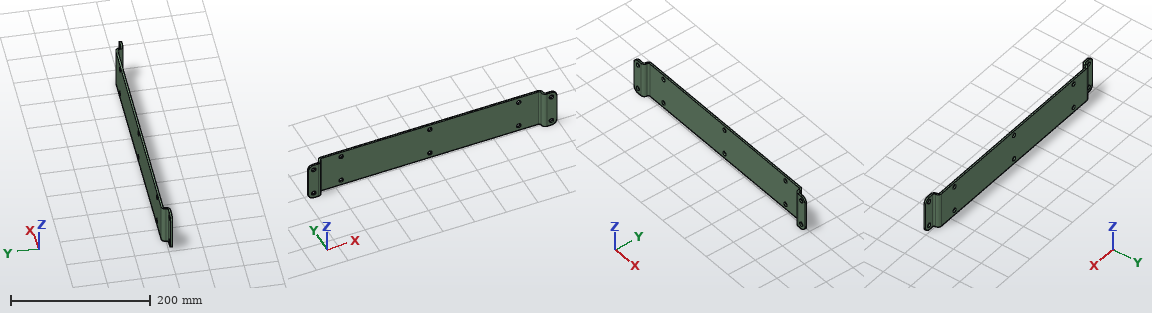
import cadquery as cq

length = 393.0
depth = 12.0
height = 62.0
sheet = 3.0
flange_length = 16.0
corner_radius = 9.0
hole_diameter = 6.5
hole_spacing_z = 44.8
plate_hole_spacing = 140.3
flange_hole_x = 188.0

bend_outer = depth / 2
bend_inner = bend_outer - sheet

flange_front = -depth / 2
flange_back = flange_front + sheet
plate_back = depth / 2
plate_front = plate_back - sheet

end_x = length / 2
flange_bend_x = end_x - flange_length
plate_bend_x = flange_bend_x - bend_outer - bend_inner

cos_45 = 0.5 ** 0.5


def joggled_half():
    """Right half of the bent sheet, from the centre plane to the flange end."""
    inner_mid = bend_inner * cos_45
    outer_mid = bend_outer * cos_45
    plate_centre_y = plate_back - bend_outer
    flange_centre_y = flange_front + bend_outer
    profile = (
        cq.Workplane("XY")
        .moveTo(0, plate_front)
        .lineTo(plate_bend_x, plate_front)
        .threePointArc(
            (plate_bend_x + inner_mid, plate_centre_y + inner_mid),
            (plate_bend_x + bend_inner, plate_centre_y),
        )
        .threePointArc(
            (flange_bend_x - outer_mid, flange_centre_y - outer_mid),
            (flange_bend_x, flange_front),
        )
        .lineTo(end_x, flange_front)
        .lineTo(end_x, flange_back)
        .lineTo(flange_bend_x, flange_back)
        .threePointArc(
            (flange_bend_x - inner_mid, flange_centre_y - inner_mid),
            (flange_bend_x - bend_inner, flange_centre_y),
        )
        .threePointArc(
            (plate_bend_x + outer_mid, plate_centre_y + outer_mid),
            (plate_bend_x, plate_back),
        )
        .lineTo(0, plate_back)
        .close()
    )
    half = profile.extrude(height / 2, both=True)
    return half.edges("|Y and >X").fillet(corner_radius)


def hole_cutters():
    """Through holes in two rows: each row has one in each flange and three in the plate."""
    columns = [-flange_hole_x, -plate_hole_spacing, 0, plate_hole_spacing, flange_hole_x]
    rows = [-hole_spacing_z / 2, hole_spacing_z / 2]
    centres = [(x, z) for x in columns for z in rows]
    return (
        cq.Workplane("XZ")
        .pushPoints(centres)
        .circle(hole_diameter / 2)
        .extrude(depth, both=True)
    )


right_half = joggled_half()
left_half = right_half.mirror("YZ")
result = right_half.union(left_half, clean=True).cut(hole_cutters())